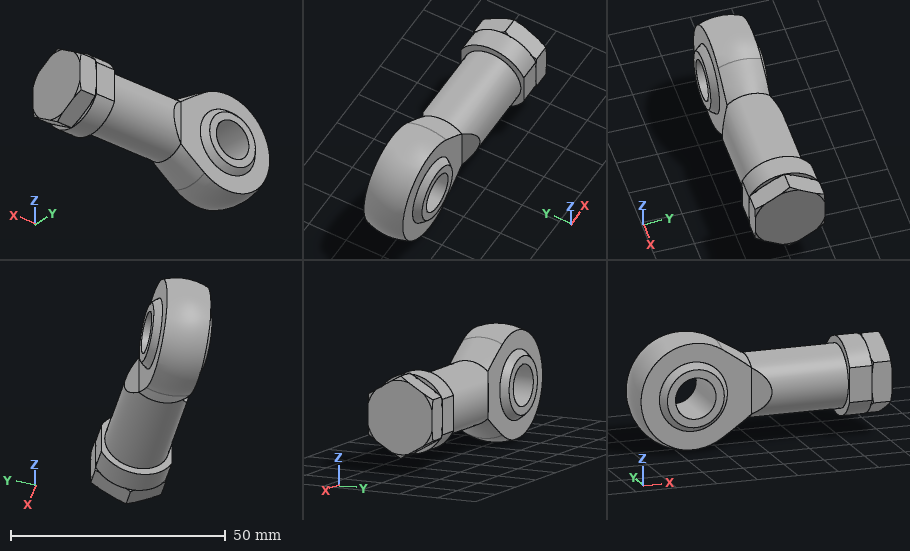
import cadquery as cq
import math


eye_radius = 13.95
eye_width = 10.55
ball_diameter = 19.85
ball_width = 14.0
bore_diameter = 10.0

shank_radius = 15.4 / 2
neck_slope = 30.7
shoulder_angle = 30.0

overall_length = 62.0
width_across_flats = 17.0
collar_diameter = 19.0
collar_length = 5.6
nut_thickness = 5.0
nut_chamfer_angle = 20.0
nut_face_radius = 8.8

nut_end_x = overall_length - eye_radius
nut_start_x = nut_end_x - nut_thickness
collar_start_x = nut_start_x - collar_length

neck_angle = math.radians(neck_slope)
tangent_x = eye_radius * math.sin(neck_angle)
tangent_radius = eye_radius * math.cos(neck_angle)
neck_end_x = tangent_x + (tangent_radius - shank_radius) / math.tan(neck_angle)

shoulder_end_x = neck_end_x + (eye_radius - eye_width / 2) / math.tan(math.radians(shoulder_angle))


def make_turned_blank():
    """Sphere, tangent neck cone and cylindrical shank, revolved about X."""
    arc_angle = (math.pi / 2 + neck_angle) / 2
    arc_middle = (-eye_radius * math.cos(arc_angle), eye_radius * math.sin(arc_angle))
    return (
        cq.Workplane("XY")
        .moveTo(-eye_radius, 0)
        .threePointArc(arc_middle, (tangent_x, tangent_radius))
        .lineTo(neck_end_x, shank_radius)
        .lineTo(nut_start_x, shank_radius)
        .lineTo(nut_start_x, 0)
        .close()
        .revolve(360, (0, 0, 0), (1, 0, 0))
    )


def make_side_cut():
    """Waste beside the +Y face of the eye, ending in the sloped shoulder."""
    half_width = eye_width / 2
    return (
        cq.Workplane("XY")
        .moveTo(-overall_length, half_width)
        .lineTo(neck_end_x, half_width)
        .lineTo(shoulder_end_x, eye_radius)
        .lineTo(-overall_length, eye_radius)
        .close()
        .extrude(overall_length, both=True)
    )


def make_ball():
    """Sphere truncated by two flat faces normal to Y."""
    slab = cq.Workplane("XY").box(ball_diameter, ball_width, ball_diameter)
    return cq.Workplane("XY").sphere(ball_diameter / 2).intersect(slab)


def make_collar():
    """Round collar with two wrench flats on the Y sides."""
    flats = (
        cq.Workplane("YZ", origin=(collar_start_x, 0, 0))
        .rect(width_across_flats, collar_diameter)
        .extrude(collar_length)
    )
    return (
        cq.Workplane("YZ", origin=(collar_start_x, 0, 0))
        .circle(collar_diameter / 2)
        .extrude(collar_length)
        .intersect(flats)
    )


def make_rod_end():
    """Eye, ball, shank and collar as one solid with a through bore along Y."""
    bore = cq.Workplane("XZ").circle(bore_diameter / 2).extrude(ball_width, both=True)
    side_cut = make_side_cut()
    return (
        make_turned_blank()
        .cut(side_cut)
        .cut(side_cut.mirror("XZ"))
        .union(make_ball())
        .union(make_collar())
        .cut(bore)
    )


def make_lock_nut():
    """Hexagon with flats on the Y sides and conical chamfers on both end faces."""
    corner_radius = width_across_flats / math.sqrt(3)
    slope = math.tan(math.radians(nut_chamfer_angle))
    chamfer_length = (corner_radius - nut_face_radius) * slope
    hexagon = (
        cq.Workplane("YZ", origin=(nut_start_x, 0, 0))
        .transformed(rotate=(0, 0, 90))
        .polygon(6, 2 * corner_radius)
        .extrude(nut_thickness)
    )
    chamfer_envelope = (
        cq.Workplane("XY")
        .moveTo(nut_start_x, 0)
        .lineTo(nut_start_x, nut_face_radius)
        .lineTo(nut_start_x + chamfer_length, corner_radius)
        .lineTo(nut_end_x - chamfer_length, corner_radius)
        .lineTo(nut_end_x, nut_face_radius)
        .lineTo(nut_end_x, 0)
        .close()
        .revolve(360, (0, 0, 0), (1, 0, 0))
    )
    return hexagon.intersect(chamfer_envelope)


rod_end = make_rod_end()
lock_nut = make_lock_nut()
result = cq.Compound.makeCompound([rod_end.val(), lock_nut.val()])